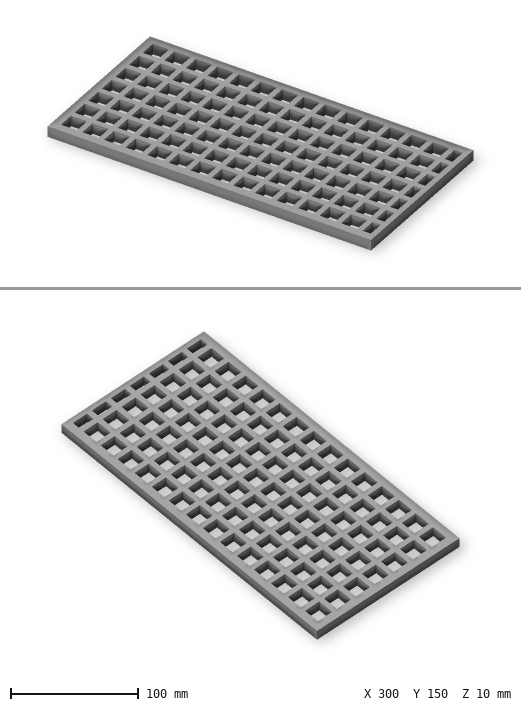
import cadquery as cq

length = 300.0
width = length / 2
thickness = length / 30

columns = 15
rows = 7
pitch = length / columns
opening = 15.0
rib = pitch - opening
border = (width - (rows - 1) * pitch - opening) / 2

last_opening_limit = length - rib


def make_plate():
    """Solid plate centred on the origin in X and Y, resting on Z = 0."""
    return cq.Workplane("XY").box(length, width, thickness, centered=(True, True, False))


def column_openings(column):
    """Cutters for one column of openings, all of the same length along X."""
    start = border + column * pitch
    end = min(start + opening, last_opening_limit)
    center_x = (start + end) / 2 - length / 2
    return (
        cq.Workplane("XY")
        .center(center_x, 0)
        .rarray(pitch, pitch, 1, rows)
        .rect(end - start, opening)
        .extrude(thickness)
    )


result = make_plate()
for column in range(columns):
    result = result.cut(column_openings(column))